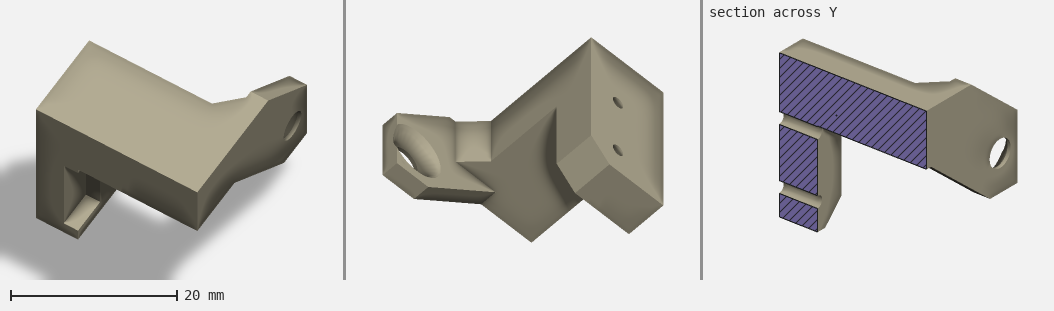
import cadquery as cq

width = 23.0
depth = 24.8
height = 22.65

block_depth = 12.03
beam_height = 8.05
column_width = 6.0
corner_cut = 3.05
beam_bottom = height - beam_height

recess_floor_x = 3.97
recess_bottom = 1.85
recess_height = 12.0
recess_depth = 5.0

small_hole_diameter = 1.7
small_hole_y = 7.55
small_hole_heights = (4.15, 13.65)

plate_thickness = 2.5
plate_bottom = 5.38
plate_top_end_y = 16.02
plate_rear_top_z = 15.43
plate_lower_corner_y = 19.6
plate_inner_x = width - plate_thickness
gusset_leg = 3.0

screw_diameter = 4.0
countersink_diameter = 2 * screw_diameter
countersink_angle = 90.0
screw_y = 21.5
screw_z = 10.85


def make_block():
    beam = cq.Workplane("XY").box(width, block_depth, beam_height, centered=False)
    beam = beam.translate((0, 0, beam_bottom))
    column = (
        cq.Workplane("XY")
        .box(column_width, block_depth, height, centered=False)
        .faces("<Z")
        .edges(">Y")
        .chamfer(corner_cut)
    )
    return beam.union(column)


def make_plate():
    slope = (height - plate_rear_top_z) / (depth - plate_top_end_y)
    beam_meeting_y = plate_lower_corner_y - (beam_bottom - plate_bottom) / slope
    outline = [
        (beam_meeting_y, height),
        (plate_top_end_y, height),
        (depth, plate_rear_top_z),
        (depth, plate_bottom),
        (plate_lower_corner_y, plate_bottom),
        (beam_meeting_y, beam_bottom),
    ]
    plate = cq.Workplane("YZ", origin=(plate_inner_x, 0, 0)).polyline(outline).close()
    plate = plate.extrude(plate_thickness)
    return (
        plate.faces("<X")
        .workplane(origin=(plate_inner_x, screw_y, screw_z))
        .cskHole(screw_diameter, countersink_diameter, countersink_angle)
    )


def make_gusset():
    return (
        cq.Workplane("XY", origin=(0, 0, beam_bottom))
        .moveTo(plate_inner_x - gusset_leg, block_depth)
        .lineTo(plate_inner_x, block_depth)
        .lineTo(plate_inner_x, block_depth + gusset_leg)
        .close()
        .extrude(beam_height)
    )


def make_recess():
    return cq.Workplane("XY").box(
        column_width - recess_floor_x, recess_depth, recess_height, centered=False
    ).translate((recess_floor_x, 0, recess_bottom))


def make_small_holes():
    return (
        cq.Workplane("YZ")
        .pushPoints([(small_hole_y, z) for z in small_hole_heights])
        .circle(small_hole_diameter / 2)
        .extrude(column_width)
    )


result = (
    make_block()
    .union(make_plate())
    .union(make_gusset())
    .cut(make_recess())
    .cut(make_small_holes())
)